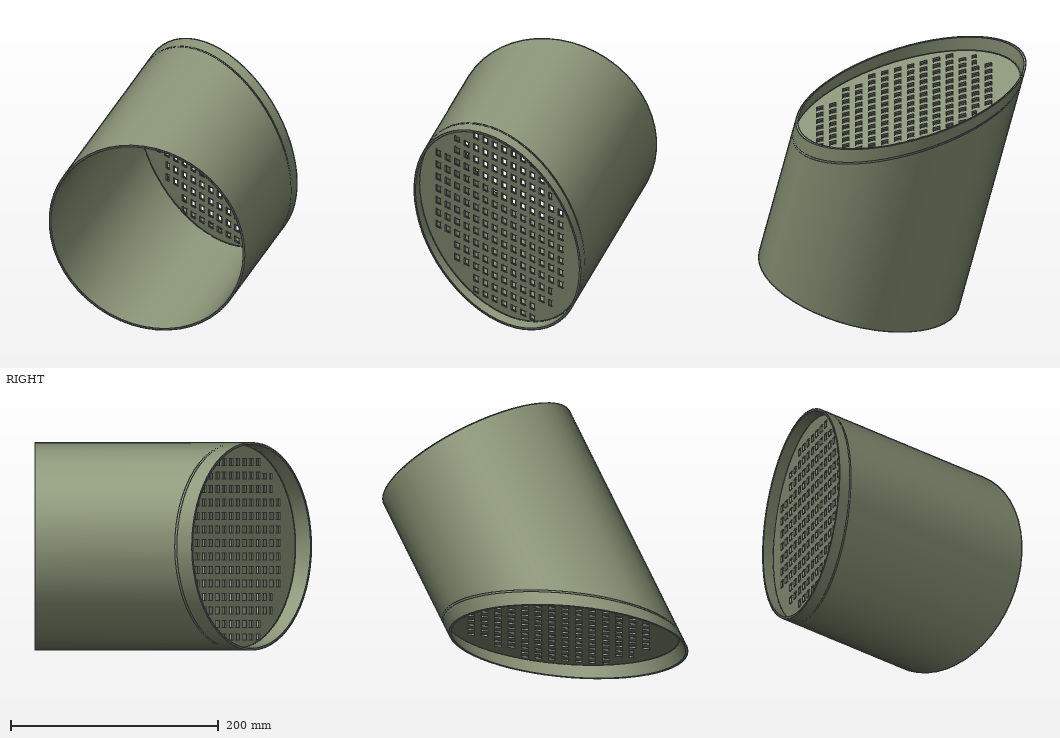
import cadquery as cq
import math

outer_diameter = 200.0
wall = 1.8
cut_angle = 30.0
overall_length = 266.41

bore_diameter = outer_diameter - 2 * wall
cut_slope = math.tan(math.radians(cut_angle))
axis_length = overall_length - outer_diameter / 2 * cut_slope

plate_thickness = 1.8
plate_diameter = outer_diameter - wall
plate_depth = 14.6
plate_axis_y = axis_length - plate_depth / math.cos(math.radians(cut_angle))

hole_size = 6.5
hole_pitch = 2 * hole_size
column_count = 14
row_count = 14
hole_field_reach = 90.0
last_column_u = hole_field_reach - hole_size / 2
first_column_u = last_column_u - (column_count - 1) * hole_pitch
top_row_z = hole_size / 2 + (row_count / 2 - 1) * hole_pitch

wide_field = (range(0, column_count), range(3, 10), hole_field_reach)
middle_field = (range(1, 12), range(1, 12), 70.0)
tall_field = (range(3, 10), range(0, row_count), hole_field_reach)


def cylinder(diameter, length):
    """Solid cylinder along +Y from Y = 0."""
    return cq.Workplane("XZ").circle(diameter / 2).extrude(-length)


def slanted_plane(axis_y):
    """Workplane parallel to the slanted end, crossing the pipe axis at axis_y; local x is u, local y is Z."""
    sine = math.sin(math.radians(cut_angle))
    cosine = math.cos(math.radians(cut_angle))
    return cq.Workplane(cq.Plane(origin=(0, axis_y, 0), xDir=(cosine, -sine, 0), normal=(-sine, -cosine, 0)))


def slanted_slab(axis_y, thickness):
    """Oversized slab from the slanted plane towards +Y."""
    slab_size = 2 * outer_diameter
    return slanted_plane(axis_y).rect(slab_size, slab_size).extrude(-thickness)


def make_plate_blank():
    slab = slanted_slab(plate_axis_y, plate_thickness)
    return cylinder(plate_diameter, overall_length).intersect(slab)


def make_pipe():
    tube = cylinder(outer_diameter, overall_length).cut(cylinder(bore_diameter, overall_length))
    tube = tube.cut(slanted_slab(axis_length, outer_diameter))
    return tube.cut(make_plate_blank())


def field_holes(columns, rows, reach):
    """Punches for one field: square bars trimmed to a square of the field's reach."""
    centres = [
        (first_column_u + column * hole_pitch, top_row_z - row * hole_pitch)
        for column in columns
        for row in rows
    ]
    plane = slanted_plane(plate_axis_y)
    bars = plane.pushPoints(centres).rect(hole_size, hole_size).extrude(-plate_thickness)
    return bars.intersect(plane.rect(2 * reach, 2 * reach).extrude(-plate_thickness))


def make_grille():
    plate = make_plate_blank()
    for columns, rows, reach in (wide_field, middle_field, tall_field):
        plate = plate.cut(field_holes(columns, rows, reach))
    return plate


pipe = make_pipe()
grille = make_grille()
result = cq.Compound.makeCompound([pipe.val(), grille.val()])